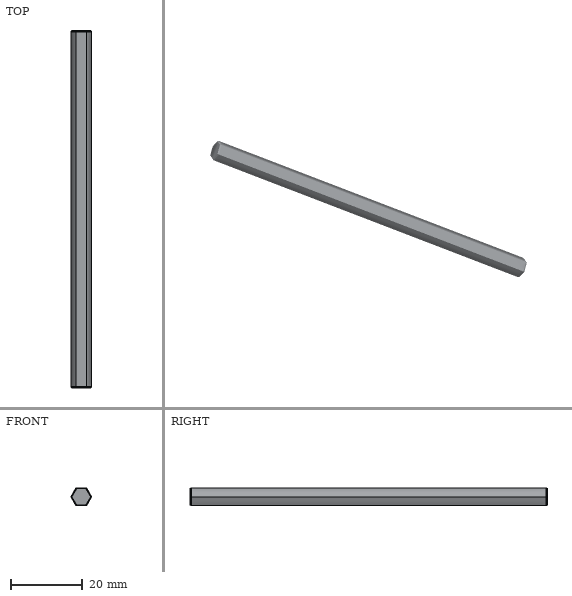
import cadquery as cq
import math

length = 100.0
across_flats = 5.0
chamfer_length = 0.4
chamfer_depth = 0.2

across_corners = across_flats / math.cos(math.radians(30))
chamfer_angle = math.degrees(math.atan2(chamfer_depth, chamfer_length))
straight_length = length - 2 * chamfer_length


def chamfered_end(side):
    """Tapered hexagonal tip at the +Y (side = 1) or -Y (side = -1) end."""
    base = cq.Plane(origin=(0, side * straight_length / 2, 0), xDir=(1, 0, 0), normal=(0, side, 0))
    return cq.Workplane(base).polygon(6, across_corners).extrude(chamfer_length, taper=chamfer_angle)


result = cq.Workplane("XZ").polygon(6, across_corners).extrude(straight_length / 2, both=True)
for side in (-1, 1):
    result = result.union(chamfered_end(side))